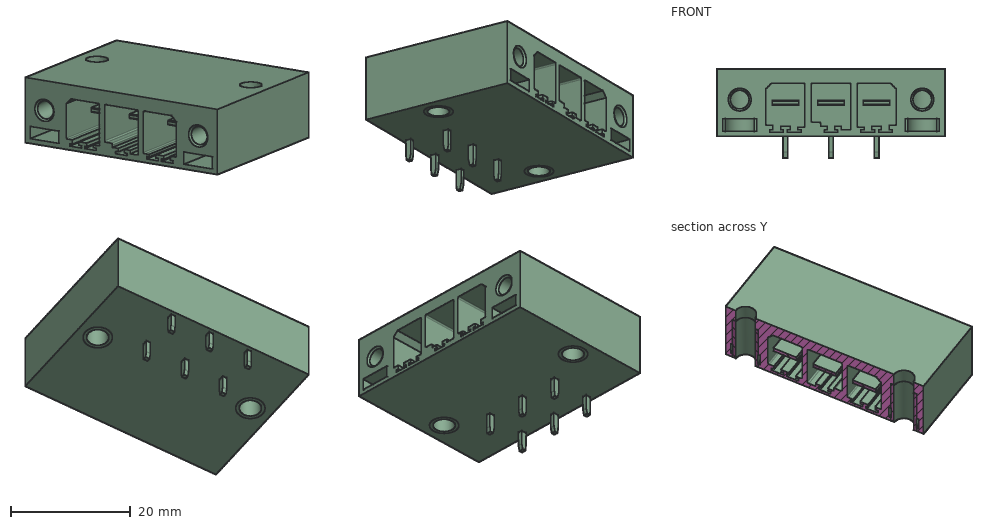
import cadquery as cq

HOUSING_WIDTH = 38.1
HOUSING_DEPTH = 28.3
HOUSING_HEIGHT = 11.3
POLE_PITCH = 7.62
POLE_POSITIONS = (-POLE_PITCH, 0, POLE_PITCH)

POCKET_DEPTH = 17.0
POCKET_TOP = 8.9
OUTER_POCKET_HALF_WIDTH = 3.25
CENTRE_POCKET_HALF_WIDTH = 3.32
POCKET_CORNER_RADIUS = 0.25
FLOOR_CORNER_RADIUS = 0.2
CODING_CHAMFER = 0.95
OUTER_SIDE_FLOOR = 1.85
INNER_SIDE_FLOOR = 1.55

RIB_TOP = 1.7
GROOVE_FLOOR = 0.7
GROOVE_FOOT_TOP = 1.1
TWIN_NECK_INNER = 0.78
TWIN_NECK_OUTER = 2.1
TWIN_FOOT_INNER = 0.34
TWIN_FOOT_OUTER = 2.62
CENTRE_NECK_HALF_WIDTH = 0.63
CENTRE_FOOT_HALF_WIDTH = 1.15
CENTRE_FOOT_RADIUS = 0.15
CENTRE_HIGH_FLOOR = 2.4
CENTRE_LOW_FLOOR = GROOVE_FOOT_TOP
CENTRE_STEP_X = 1.75

MOUNT_X = 2 * POLE_PITCH
MOUNT_POSITIONS = (-MOUNT_X, MOUNT_X)
MOUNT_Y = 16.3
MOUNT_HOLE_DIAMETER = 3.7
SLEEVE_DIAMETER = 4.9
SLEEVE_HEIGHT = 8.7

BORE_DIAMETER = 3.12
BORE_MOUTH_DIAMETER = 3.8
BORE_CHAMFER = (BORE_MOUTH_DIAMETER - BORE_DIAMETER) / 2
BORE_HEIGHT = 6.15
SLOT_WIDTH = 5.65
SLOT_BOTTOM = 0.85
SLOT_HEIGHT = 2.12

BLADE_WIDTH = 4.45
SHEET_THICKNESS = 0.8
BLADE_HEIGHT = HOUSING_HEIGHT / 2
BLADE_TIP_Y = 6.0
BLADE_TIP_CHAMFER = 0.15
LEG_WIDTH = 1.02
LEG_PITCH = 7.5
REAR_LEG_Y = HOUSING_DEPTH - 1.2
FRONT_LEG_Y = REAR_LEG_Y - LEG_PITCH
LEG_LENGTH = 3.6
LEG_TAPER_LENGTH = 1.05
LEG_INNER_TAPER = 0.25
LEG_OUTER_TAPER = 0.13


def box_between(x_range, y_range, z_range):
    """Box spanning the given (low, high) ranges."""
    size = [high - low for low, high in (x_range, y_range, z_range)]
    corner = (x_range[0], y_range[0], z_range[0])
    return cq.Workplane("XY", origin=corner).box(*size, centered=False)


def pocket_body(outline):
    """Prism of an (x, z) outline that runs from the front face to the pocket's back wall."""
    return cq.Workplane("XZ").polyline(outline).close().extrude(-POCKET_DEPTH)


def t_groove(neck_range, foot_range, foot_radius=0):
    """T-groove cutter: a neck below the rib level over a wider foot."""
    depth_range = (0, POCKET_DEPTH)
    neck = box_between(neck_range, depth_range, (GROOVE_FLOOR, RIB_TOP))
    foot = box_between(foot_range, depth_range, (GROOVE_FLOOR, GROOVE_FOOT_TOP))
    if foot_radius:
        foot = foot.edges("|Y").fillet(foot_radius)
    return neck.union(foot)


def left_pocket():
    """Cutter of the left pocket: coding chamfer at its upper left, two T-grooves below."""
    pocket = pocket_body(
        [
            (-OUTER_POCKET_HALF_WIDTH, OUTER_SIDE_FLOOR),
            (-TWIN_NECK_OUTER, OUTER_SIDE_FLOOR),
            (-TWIN_NECK_OUTER, RIB_TOP),
            (TWIN_NECK_OUTER, RIB_TOP),
            (TWIN_NECK_OUTER, INNER_SIDE_FLOOR),
            (OUTER_POCKET_HALF_WIDTH, INNER_SIDE_FLOOR),
            (OUTER_POCKET_HALF_WIDTH, POCKET_TOP),
            (CODING_CHAMFER - OUTER_POCKET_HALF_WIDTH, POCKET_TOP),
            (-OUTER_POCKET_HALF_WIDTH, POCKET_TOP - CODING_CHAMFER),
        ]
    )
    pocket = pocket.edges("|Y and >X and >Z").fillet(POCKET_CORNER_RADIUS)
    for corner_x, corner_z in (
        (-OUTER_POCKET_HALF_WIDTH, OUTER_SIDE_FLOOR),
        (OUTER_POCKET_HALF_WIDTH, INNER_SIDE_FLOOR),
    ):
        floor_corner = cq.selectors.NearestToPointSelector((corner_x, POCKET_DEPTH / 2, corner_z))
        pocket = pocket.edges(floor_corner).fillet(FLOOR_CORNER_RADIUS)
    groove = t_groove((TWIN_NECK_INNER, TWIN_NECK_OUTER), (TWIN_FOOT_INNER, TWIN_FOOT_OUTER))
    pocket = pocket.union(groove).union(groove.mirror("YZ"))
    return pocket.translate((-POLE_PITCH, 0, 0))


def centre_pocket():
    """Cutter of the middle pocket: stepped floor with a single round-edged T-groove."""
    pocket = pocket_body(
        [
            (-CENTRE_POCKET_HALF_WIDTH, CENTRE_HIGH_FLOOR),
            (-CENTRE_STEP_X, CENTRE_HIGH_FLOOR),
            (-CENTRE_STEP_X, RIB_TOP),
            (CENTRE_STEP_X, RIB_TOP),
            (CENTRE_STEP_X, CENTRE_LOW_FLOOR),
            (CENTRE_POCKET_HALF_WIDTH, CENTRE_LOW_FLOOR),
            (CENTRE_POCKET_HALF_WIDTH, POCKET_TOP),
            (-CENTRE_POCKET_HALF_WIDTH, POCKET_TOP),
        ]
    )
    pocket = pocket.edges("|Y").edges("<X or >X").fillet(POCKET_CORNER_RADIUS)
    high_step_edge = cq.selectors.NearestToPointSelector(
        (-CENTRE_STEP_X, POCKET_DEPTH / 2, CENTRE_HIGH_FLOOR)
    )
    pocket = pocket.edges(high_step_edge).fillet(POCKET_CORNER_RADIUS)
    groove = t_groove(
        (-CENTRE_NECK_HALF_WIDTH, CENTRE_NECK_HALF_WIDTH),
        (-CENTRE_FOOT_HALF_WIDTH, CENTRE_FOOT_HALF_WIDTH),
        CENTRE_FOOT_RADIUS,
    )
    return pocket.union(groove)


def upright_cylinder(x, diameter, height):
    """Cylinder that stands on the underside level at a mounting position."""
    return cq.Workplane("XY", origin=(x, MOUNT_Y, 0)).circle(diameter / 2).extrude(height)


def screw_bore(x):
    """Cutter of a front screw bore with a chamfered mouth, running up to the sleeve's axis."""
    bore = cq.Workplane("XZ", origin=(x, 0, BORE_HEIGHT)).circle(BORE_DIAMETER / 2).extrude(-MOUNT_Y)
    mouth = cq.Solid.makeCone(
        BORE_MOUTH_DIAMETER / 2,
        BORE_DIAMETER / 2,
        BORE_CHAMFER,
        pnt=cq.Vector(x, 0, BORE_HEIGHT),
        dir=cq.Vector(0, 1, 0),
    )
    return bore.union(cq.Workplane(mouth))


def latch_slot(x):
    """Cutter of a rectangular front slot running back to the sleeve's axis."""
    return box_between(
        (x - SLOT_WIDTH / 2, x + SLOT_WIDTH / 2),
        (0, MOUNT_Y),
        (SLOT_BOTTOM, SLOT_BOTTOM + SLOT_HEIGHT),
    )


def make_sleeve(x):
    """Tubular sleeve around the lower part of a mounting hole."""
    outside = upright_cylinder(x, SLEEVE_DIAMETER, SLEEVE_HEIGHT)
    return outside.cut(upright_cylinder(x, MOUNT_HOLE_DIAMETER, SLEEVE_HEIGHT))


def contact_leg(x, leg_y, inner_direction):
    """Solder leg from the blade down to its tapered tip; inner_direction points to the other leg."""
    inner_y = leg_y + inner_direction * LEG_WIDTH / 2
    outer_y = leg_y - inner_direction * LEG_WIDTH / 2
    taper_start = LEG_TAPER_LENGTH - LEG_LENGTH
    outline = [
        (inner_y, BLADE_HEIGHT),
        (inner_y, taper_start),
        (inner_y - inner_direction * LEG_INNER_TAPER, -LEG_LENGTH),
        (outer_y + inner_direction * LEG_OUTER_TAPER, -LEG_LENGTH),
        (outer_y, taper_start),
        (outer_y, BLADE_HEIGHT),
    ]
    leg = cq.Workplane("YZ", origin=(x, 0, 0)).polyline(outline).close()
    return leg.extrude(SHEET_THICKNESS / 2, both=True)


def make_contact(x):
    """Contact of one pole: a blade with a bevelled tip and two solder legs below its rear part."""
    blade = box_between(
        (x - BLADE_WIDTH / 2, x + BLADE_WIDTH / 2),
        (BLADE_TIP_Y, REAR_LEG_Y + LEG_WIDTH / 2),
        (BLADE_HEIGHT - SHEET_THICKNESS / 2, BLADE_HEIGHT + SHEET_THICKNESS / 2),
    )
    blade = blade.faces("<Y").edges("|X").chamfer(BLADE_TIP_CHAMFER)
    front_leg = contact_leg(x, FRONT_LEG_Y, 1)
    rear_leg = contact_leg(x, REAR_LEG_Y, -1)
    return blade.union(front_leg).union(rear_leg)


def make_housing(contacts):
    """Block with plug pockets, mounting features and recesses fitting the contacts."""
    half_width = HOUSING_WIDTH / 2
    block = box_between((-half_width, half_width), (0, HOUSING_DEPTH), (0, HOUSING_HEIGHT))
    block = block.cut(left_pocket()).cut(left_pocket().mirror("YZ")).cut(centre_pocket())
    for x in MOUNT_POSITIONS:
        block = block.cut(screw_bore(x)).cut(latch_slot(x))
        block = block.cut(upright_cylinder(x, SLEEVE_DIAMETER, SLEEVE_HEIGHT))
        block = block.cut(upright_cylinder(x, MOUNT_HOLE_DIAMETER, HOUSING_HEIGHT))
    for contact in contacts:
        block = block.cut(contact)
    return block


contacts = [make_contact(x) for x in POLE_POSITIONS]
sleeves = [make_sleeve(x) for x in MOUNT_POSITIONS]
housing = make_housing(contacts)

result = cq.Compound.makeCompound([housing.val(), *[body.val() for body in contacts + sleeves]])